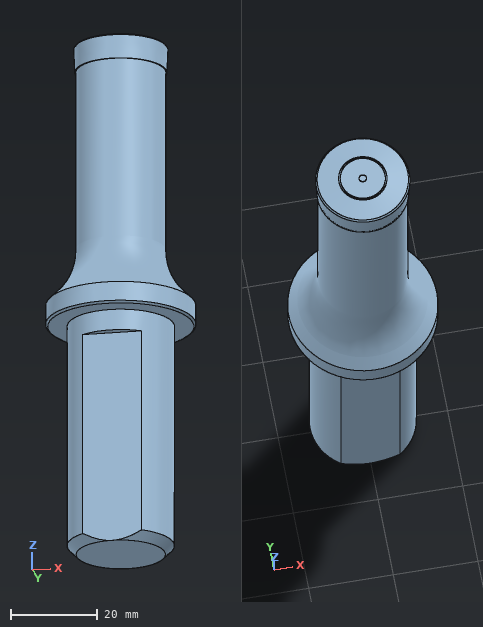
import cadquery as cq
import math

total_length = 125.0
tip_height = 6.6
neck_base_z = 74.8
collar_bottom_z = 56.0
tip_base_z = total_length - tip_height

shank_radius = 25.0 / 2
shank_chamfer = 2.1
flat_offset = 10.4
flat_top_z = 51.0

collar_radius = 35.0 / 2
collar_chamfer = 0.5
neck_radius = 21.0 / 2
flare_radius = 16.0
flare_angle = math.radians(45)

tip_base_radius = 10.8
tip_rim_radius = 11.0
tip_crown_height = 0.6
tip_rim_chamfer = 0.4
ring_outer_radius = 5.6
ring_inner_radius = 5.2
ring_depth = 0.2
dimple_radius = 0.9
dimple_depth = 0.2

bottom_z = -total_length / 2
top_z = total_length / 2


def height(z):
    """Place a height measured from the shank end."""
    return bottom_z + z


def make_holder():
    """Shank, collar, flared neck and the drive flat."""
    flare_mid = flare_angle / 2
    flare_end_radius = neck_radius + flare_radius * (1 - math.cos(flare_angle))
    flare_end_z = neck_base_z - flare_radius * math.sin(flare_angle)
    cone_drop = (collar_radius - flare_end_radius) / math.tan(flare_angle)
    collar_top_z = flare_end_z - cone_drop
    holder = (
        cq.Workplane("XZ")
        .moveTo(0, height(0))
        .lineTo(shank_radius - shank_chamfer, height(0))
        .lineTo(shank_radius, height(shank_chamfer))
        .lineTo(shank_radius, height(collar_bottom_z))
        .lineTo(collar_radius - collar_chamfer, height(collar_bottom_z))
        .lineTo(collar_radius, height(collar_bottom_z + collar_chamfer))
        .lineTo(collar_radius, height(collar_top_z))
        .lineTo(flare_end_radius, height(flare_end_z))
        .threePointArc(
            (
                neck_radius + flare_radius * (1 - math.cos(flare_mid)),
                height(neck_base_z - flare_radius * math.sin(flare_mid)),
            ),
            (neck_radius, height(neck_base_z)),
        )
        .lineTo(neck_radius, height(tip_base_z))
        .lineTo(0, height(tip_base_z))
        .close()
        .revolve(360, (0, 0, 0), (0, 1, 0))
    )
    flat_cutter = cq.Workplane("XY").box(
        2 * shank_radius, shank_radius, flat_top_z, centered=(True, False, False)
    ).translate((0, -flat_offset - shank_radius, height(0)))
    return holder.cut(flat_cutter)


def make_tip():
    """Tapered head with a chamfered rim, a shallow conical crown, a ring groove and a center dimple."""
    tip = (
        cq.Workplane("XZ")
        .moveTo(0, height(tip_base_z))
        .lineTo(tip_base_radius, height(tip_base_z))
        .lineTo(tip_rim_radius, top_z - tip_crown_height - tip_rim_chamfer)
        .lineTo(tip_rim_radius - tip_rim_chamfer, top_z - tip_crown_height)
        .lineTo(ring_outer_radius, top_z)
        .lineTo(0, top_z)
        .close()
        .revolve(360, (0, 0, 0), (0, 1, 0))
    )
    ring_groove = (
        cq.Workplane("XY", origin=(0, 0, top_z - ring_depth))
        .circle(ring_outer_radius)
        .circle(ring_inner_radius)
        .extrude(ring_depth)
    )
    center_dimple = (
        cq.Workplane("XY", origin=(0, 0, top_z - dimple_depth))
        .circle(dimple_radius)
        .extrude(dimple_depth)
    )
    return tip.cut(ring_groove).cut(center_dimple)


holder = make_holder()
tip = make_tip()
result = cq.Compound.makeCompound([holder.val(), tip.val()])